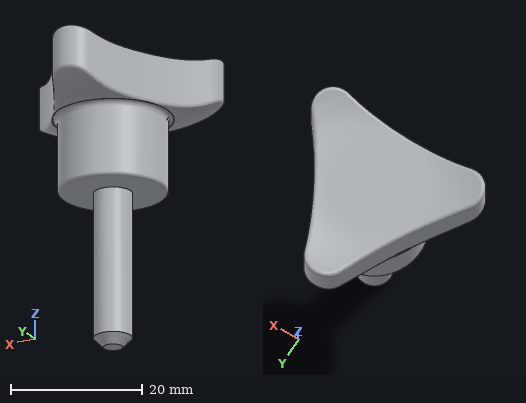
import cadquery as cq
import math

OVERALL_WIDTH = 30.4
OVERALL_DEPTH = 27.25
OVERALL_HEIGHT = 46.75

LOBE_COUNT = 3
WAIST_DISTANCE = 9.25
HALF_ANGLE = math.pi / LOBE_COUNT
LOBE_DISTANCE = (OVERALL_WIDTH - OVERALL_DEPTH) / (
    2 * math.sin(HALF_ANGLE) - 1 - math.cos(HALF_ANGLE)
)
LOBE_RADIUS = OVERALL_WIDTH / 2 - LOBE_DISTANCE * math.sin(HALF_ANGLE)

FLAT_RADIUS = 7.6
FLAT_Z = 45.1
DISH_RADIUS = 23.6
UNDERSIDE_FLAT_RADIUS = 8.05
UNDERSIDE_Z = 36.95
UNDERSIDE_CURVE_RADIUS = 14.5
HANDLE_EDGE_RADIUS = 0.55
BLANK_RADIUS = 18.7
PRISM_ALLOWANCE = 4.7

HUB_RADIUS = 17.0 / 2
HUB_BOTTOM_Z = 24.95
HUB_EDGE_RADIUS = 0.55
NECK_RADIUS = 0.85
PIN_RADIUS = 6.0 / 2
PIN_CHAMFER = 1.5


def polar(distance, angle):
    return (distance * math.cos(angle), distance * math.sin(angle))


def handle_prism():
    """Prism with three round lobes joined by tangent hollow arcs, one lobe toward +Y."""
    half_span = LOBE_DISTANCE * math.sin(HALF_ANGLE)
    waist_gap = WAIST_DISTANCE - LOBE_DISTANCE * math.cos(HALF_ANGLE)
    side_radius = (half_span**2 + waist_gap**2 - LOBE_RADIUS**2) / (2 * (LOBE_RADIUS - waist_gap))
    side_tilt = math.asin(half_span / (side_radius + LOBE_RADIUS))
    tangent_angle = HALF_ANGLE + side_tilt

    def lobe_point(lobe_angle, offset):
        center = polar(LOBE_DISTANCE, lobe_angle)
        reach = polar(LOBE_RADIUS, lobe_angle + offset)
        return (center[0] + reach[0], center[1] + reach[1])

    first_lobe = math.pi / 2
    outline = cq.Workplane("XY").moveTo(*lobe_point(first_lobe, -tangent_angle))
    for index in range(LOBE_COUNT):
        lobe_angle = first_lobe + index * 2 * HALF_ANGLE
        next_lobe = lobe_angle + 2 * HALF_ANGLE
        outline = outline.threePointArc(
            polar(LOBE_DISTANCE + LOBE_RADIUS, lobe_angle), lobe_point(lobe_angle, tangent_angle)
        ).threePointArc(
            polar(WAIST_DISTANCE, lobe_angle + HALF_ANGLE), lobe_point(next_lobe, -tangent_angle)
        )
    return outline.close().extrude(OVERALL_HEIGHT + PRISM_ALLOWANCE)


def arc_height(run, radius):
    """Rise at a given run along an arc that starts out horizontal."""
    return radius - math.sqrt(radius**2 - run**2)


def handle_blank():
    """Round blank with a dished top and an underside that curves up outside its flat centre."""

    def top_point(r):
        return (r, FLAT_Z + arc_height(r - FLAT_RADIUS, DISH_RADIUS))

    def underside_point(r):
        return (r, UNDERSIDE_Z + arc_height(r - UNDERSIDE_FLAT_RADIUS, UNDERSIDE_CURVE_RADIUS))

    return (
        cq.Workplane("XZ")
        .moveTo(0, UNDERSIDE_Z)
        .lineTo(UNDERSIDE_FLAT_RADIUS, UNDERSIDE_Z)
        .threePointArc(
            underside_point((UNDERSIDE_FLAT_RADIUS + BLANK_RADIUS) / 2), underside_point(BLANK_RADIUS)
        )
        .lineTo(*top_point(BLANK_RADIUS))
        .threePointArc(top_point((FLAT_RADIUS + BLANK_RADIUS) / 2), top_point(FLAT_RADIUS))
        .lineTo(0, FLAT_Z)
        .close()
        .revolve(360, (0, 0), (0, 1))
    )


def is_rim(edge):
    """True for the edges along the outer wall, which all start outside the flat centres."""
    start = edge.startPoint()
    return math.hypot(start.x, start.y) > HUB_RADIUS


def handle(prism):
    """Handle with its upper and lower rims rounded."""
    body = prism.intersect(handle_blank())
    rim = [edge for edge in body.edges("not |Z").vals() if is_rim(edge)]
    return body.newObject(rim).fillet(HANDLE_EDGE_RADIUS)


def hub(prism):
    """Hub whose neck flares into the underside and stays within the handle outline."""
    overlap_z = UNDERSIDE_Z + HANDLE_EDGE_RADIUS
    flare_radius = HUB_RADIUS + NECK_RADIUS
    profile = (
        cq.Workplane("XZ")
        .moveTo(0, HUB_BOTTOM_Z)
        .lineTo(HUB_RADIUS - HUB_EDGE_RADIUS, HUB_BOTTOM_Z)
        .radiusArc((HUB_RADIUS, HUB_BOTTOM_Z + HUB_EDGE_RADIUS), -HUB_EDGE_RADIUS)
        .lineTo(HUB_RADIUS, UNDERSIDE_Z - NECK_RADIUS)
        .radiusArc((flare_radius, UNDERSIDE_Z), NECK_RADIUS)
        .lineTo(HUB_RADIUS, overlap_z)
        .lineTo(0, overlap_z)
        .close()
    )
    return profile.revolve(360, (0, 0), (0, 1)).intersect(prism)


def pin():
    """Pin with a chamfered tip, running up through the hub."""
    return cq.Workplane("XY").circle(PIN_RADIUS).extrude(UNDERSIDE_Z).faces("<Z").chamfer(PIN_CHAMFER)


outline_prism = handle_prism()
result = handle(outline_prism).union(hub(outline_prism)).union(pin())